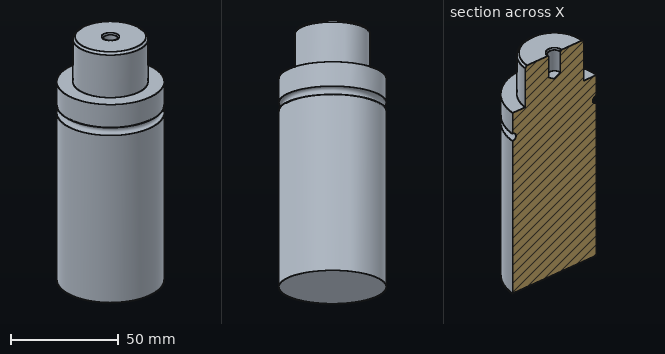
import cadquery as cq
import math

total_length = 125.0
body_radius = 25.0
spigot_radius = 17.5
spigot_length = 23.1
spigot_chamfer_width = 1.0
spigot_chamfer_height = 1.2

collar_length = 11.9
groove_radius = 2.0

hole_radius = 3.4
hole_depth = 12.5
hole_chamfer = 0.8
drill_point_angle = 118.0

shoulder_z = total_length - spigot_length
groove_top_z = shoulder_z - collar_length
groove_center_z = groove_top_z - groove_radius
groove_bottom_z = groove_center_z - groove_radius


def turned_body():
    """Revolve the stepped and grooved outer profile about Z."""
    profile = (
        cq.Workplane("XZ")
        .lineTo(body_radius, 0)
        .lineTo(body_radius, groove_bottom_z)
        .threePointArc(
            (body_radius - groove_radius, groove_center_z),
            (body_radius, groove_top_z),
        )
        .lineTo(body_radius, shoulder_z)
        .lineTo(spigot_radius, shoulder_z)
        .lineTo(spigot_radius, total_length - spigot_chamfer_height)
        .lineTo(spigot_radius - spigot_chamfer_width, total_length)
        .lineTo(0, total_length)
        .close()
    )
    return profile.revolve(360, (0, 0, 0), (0, 1, 0))


def centre_hole():
    """Revolve the chamfered hole and its conical bottom about Z."""
    wall_bottom_z = total_length - hole_depth
    point_height = hole_radius / math.tan(math.radians(drill_point_angle / 2))
    profile = (
        cq.Workplane("XZ")
        .moveTo(0, total_length)
        .lineTo(hole_radius + hole_chamfer, total_length)
        .lineTo(hole_radius, total_length - hole_chamfer)
        .lineTo(hole_radius, wall_bottom_z)
        .lineTo(0, wall_bottom_z - point_height)
        .close()
    )
    return profile.revolve(360, (0, 0, 0), (0, 1, 0))


result = turned_body().cut(centre_hole())